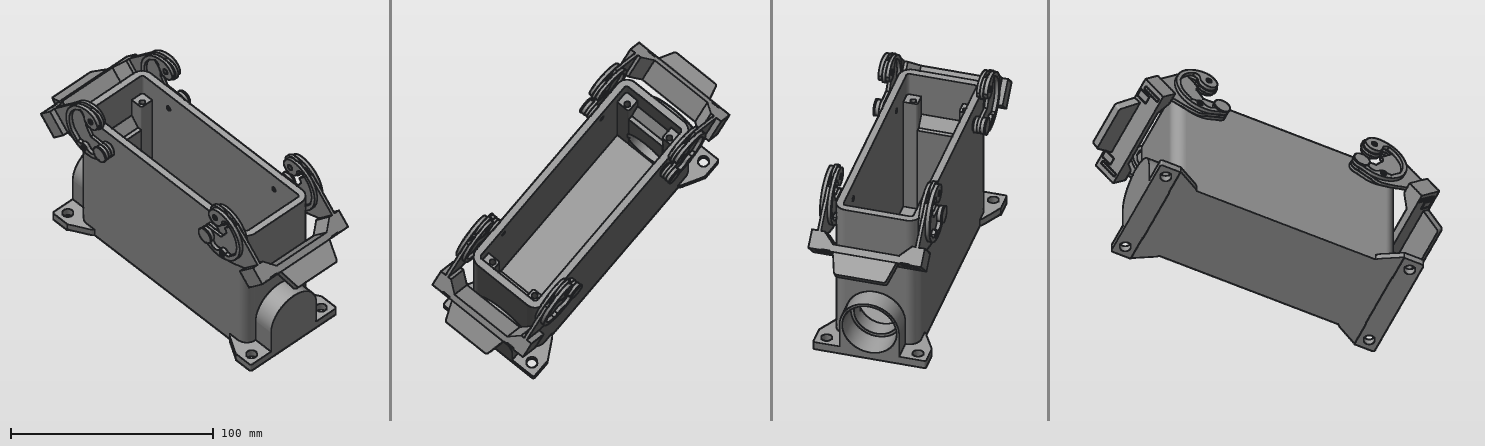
import math

import cadquery as cq

BODY_LENGTH = 121.45
BODY_WIDTH = 43.5
BODY_BOTTOM = 0.5
BODY_TOP = 80.2
BODY_CORNER_RADIUS = 6.1
CAVITY_LENGTH = 113.8
CAVITY_WIDTH = 36.0
CAVITY_CORNER_RADIUS = 1.5
FLOOR_Z = 3.5

POST_LENGTH = 7.0
POST_WIDTH = 7.3
POST_TOP = 67.6
POST_EDGE_RADIUS = 1.0
POST_HOLE_X = 52.2
POST_HOLE_Y = 13.5
POST_HOLE_DIAMETER = 3.0
POST_HOLE_DEPTH = 15.0
LEDGE_SLOPE_TOP = 56.7
LEDGE_SLOPE_LENGTH = 4.6
LEDGE_Z = 51.5

BOSS_END_X = 71.8
BOSS_RADIUS = 15.3
BOSS_AXIS_Z = 17.9
ENTRY_BORE_RADIUS = 14.0
ENTRY_BORE_END_RADIUS = 13.3
ENTRY_TAPER_DEPTH = 11.2
ENTRY_BORE_DEPTH = 13.0
ENTRY_HOLE_RADIUS = 11.7
FOOT_HALF_WIDTH = 29.0
FOOT_TOP = 4.4
FOOT_STRAIGHT_X = 61.0
FOOT_TIP_X = 48.8
FOOT_TIP_BEVEL = 1.0
FOOT_CORNER_RADIUS = 1.0
FOOT_HOLE_X = 66.5
FOOT_HOLE_Y = 23.5
FOOT_HOLE_DIAMETER = 5.5

PIN_X = -38.1
PIN_Z = 70.6
PIN_HEAD_RADIUS = 4.3
PIVOT_EYE_RADIUS = 4.1
ARM_EYE_RADIUS = 3.9
PIN_SHAFT_RADIUS = 3.0
PIN_END_Y = 28.8
PIN_HOLE_RADIUS = 1.3
PIN_HOLE_DEPTH = 1.0

HOOK_INNER_Y = 22.5
ARM_INNER_Y = 24.3
ARM_OUTER_Y = 26.0
HOOK_OUTER_Y = 28.1

HOOK_CENTER = (-47.5, 78.65)
HOOK_OUTER_RADIUS = 15.29
HOOK_INNER_RADIUS = 13.1
HOOK_INNER_START = 115
HOOK_INNER_END = 212
HOOK_LOWER_END = 285
TIP_CENTER = (-45.1, 88.3)
TIP_RADIUS = 4.8
ROLLER_RADIUS = 5.6
HOOK_THROAT = (-51.3, 90.3)
HOOK_LOWER_DIP = (-45.1, 66.1)
LOWER_RIVET = (-50.0, 66.2)
RIVET_RADIUS = 1.5
RIVET_RELIEF = 2.5
RIVET_RELIEF_START = 145
RIVET_RELIEF_END = 30
PIVOT_EYE_UPPER = 210
PIVOT_EYE_LOWER = 285
RIVET_PROUD = 0.25
RIVET_DIMPLE_RADIUS = 0.8
RIVET_DIMPLE_DEPTH = 0.4

ARM_NOSE = (-49.7, 82.7)
ARM_NOSE_CURVE = (-50.7, 81.6)
ARM_NOSE_FOOT = (-50.8, 80.2)
ARM_SLOT_CORNER_X = -47.2
ARM_BELLY_FRONT = (-45.4, 62.9)
ARM_BELLY_CURVE = (-47.5, 61.7)
ARM_BELLY_LOW = (-49.9, 61.2)
ARM_HEEL_CURVE = (-54.0, 62.0)
ARM_HEEL = (-61.5, 64.5)

BAR_TOP = (-73.5, 74.7)
BAR_THICKNESS = 9.4
BAR_DEPTH = 13.6
BAR_HALF_WIDTH = 29.0
BAR_WEB = 3.7
NOTCH_TOP_HALF_WIDTH = HOOK_INNER_Y
NOTCH_BOTTOM_HALF_WIDTH = 16.9
ARM_FRONT_OFFSET = 22.5
ARM_SLOT_Y = (24.1, 25.9)
ARM_SLOT_ACROSS = (2.1, 12.2)
POCKET_Y = (18.4, 22.6)
POCKET_ACROSS = (0.5, 6.9)
RECESS_DEPTH = 0.5
GRIP_ANGLE = 36.0
GRIP_THICKNESS = 4.1
GRIP_END = (-89.245, 61.5)
GRIP_LENGTH = 13.0
GRIP_ROOT_HALF_WIDTH = 16.9
GRIP_END_HALF_WIDTH = 13.2
GRIP_CORNER_RADIUS = 1.5

SLOPE = math.sqrt(0.5)


def polar(center, radius, degrees):
    angle = math.radians(degrees)
    return center[0] + radius * math.cos(angle), center[1] + radius * math.sin(angle)


def bar_point(down, across):
    """Point in XZ, `down` the 45 degree slope from the bar's top edge and `across` towards the body."""
    return BAR_TOP[0] + SLOPE * (across - down), BAR_TOP[1] - SLOPE * (across + down)


def extrude_y(profile, near, far):
    """Turn an XZ profile into a plate between two Y positions."""
    return profile.extrude(-(far - near)).translate((0, near, 0))


def xz():
    return cq.Workplane("XZ")


def disc_y(center, radius, near, far):
    return extrude_y(xz().center(*center).circle(radius), near, far)


def both_ends(shape):
    return shape.union(shape.mirror("YZ"))


def both_sides(shape):
    return shape.union(shape.mirror("XZ"))


def box_between(x, y, z):
    size = [span[1] - span[0] for span in (x, y, z)]
    return cq.Workplane("XY").box(*size, centered=False).translate((x[0], y[0], z[0]))


def make_body():
    body = (
        cq.Workplane("XY", origin=(0, 0, BODY_BOTTOM))
        .rect(BODY_LENGTH, BODY_WIDTH)
        .extrude(BODY_TOP - BODY_BOTTOM)
        .edges("|Z")
        .fillet(BODY_CORNER_RADIUS)
    )
    cavity = (
        cq.Workplane("XY", origin=(0, 0, FLOOR_Z))
        .rect(CAVITY_LENGTH, CAVITY_WIDTH)
        .extrude(BODY_TOP - FLOOR_Z)
        .edges("|Z")
        .fillet(CAVITY_CORNER_RADIUS)
    )
    return body.cut(cavity)


def make_inner_end():
    """Two screw posts and the sloped ledge between them, at the -X end of the cavity."""
    wall_x = -CAVITY_LENGTH / 2
    wall_y = CAVITY_WIDTH / 2
    overlap = 1.0
    face_x = wall_x + POST_LENGTH
    post = (
        box_between((wall_x - overlap, face_x), (wall_y - POST_WIDTH, wall_y + overlap), (FLOOR_Z, POST_TOP))
        .edges("|Z and >X and <Y")
        .fillet(POST_EDGE_RADIUS)
    )
    hole = (
        cq.Workplane("XY", origin=(-POST_HOLE_X, POST_HOLE_Y, POST_TOP))
        .circle(POST_HOLE_DIAMETER / 2)
        .extrude(-POST_HOLE_DEPTH)
    )
    ledge = extrude_y(
        xz().polyline(
            [
                (wall_x - overlap, FLOOR_Z),
                (face_x, FLOOR_Z),
                (face_x, LEDGE_Z),
                (wall_x + LEDGE_SLOPE_LENGTH, LEDGE_Z),
                (wall_x, LEDGE_SLOPE_TOP),
                (wall_x - overlap, LEDGE_SLOPE_TOP),
            ]
        ).close(),
        POST_WIDTH - wall_y,
        wall_y - POST_WIDTH,
    )
    return both_sides(post.cut(hole)).union(ledge)


def make_boss():
    """Cable entry boss on the -X end, a half round standing on a straight block."""
    length = BOSS_END_X - BODY_LENGTH / 2
    plane = cq.Workplane("YZ", origin=(-BOSS_END_X, 0, 0))
    block = plane.center(0, BOSS_AXIS_Z / 2).rect(2 * BOSS_RADIUS, BOSS_AXIS_Z).extrude(length)
    return block.union(plane.center(0, BOSS_AXIS_Z).circle(BOSS_RADIUS).extrude(length))


def make_feet():
    """Mounting foot plate under the -X end, tapering back along both body sides."""
    side_y = BODY_WIDTH / 2
    quarter = [
        (-FOOT_STRAIGHT_X, FOOT_HALF_WIDTH),
        (-FOOT_TIP_X - FOOT_TIP_BEVEL, side_y + FOOT_TIP_BEVEL),
        (-FOOT_TIP_X, side_y),
    ]
    wings = (
        cq.Workplane("XY", origin=(0, 0, BODY_BOTTOM))
        .polyline(quarter + [(x, -y) for x, y in reversed(quarter)])
        .close()
        .extrude(FOOT_TOP - BODY_BOTTOM)
    )
    wings = wings.cut(cq.Workplane("XY").box(CAVITY_LENGTH, CAVITY_WIDTH, 2 * BODY_TOP))
    plate = (
        box_between((-BOSS_END_X, -FOOT_STRAIGHT_X), (-FOOT_HALF_WIDTH, FOOT_HALF_WIDTH), (0, FOOT_TOP))
        .edges("|Z and <X")
        .fillet(FOOT_CORNER_RADIUS)
    )
    holes = (
        cq.Workplane("XY")
        .pushPoints([(-FOOT_HOLE_X, FOOT_HOLE_Y), (-FOOT_HOLE_X, -FOOT_HOLE_Y)])
        .circle(FOOT_HOLE_DIAMETER / 2)
        .extrude(FOOT_TOP)
    )
    return plate.union(wings).cut(holes)


def cut_cable_entry(shape):
    """Tapered bore, its straight end and a smaller hole through the boss and end wall at the -X end."""
    plane = cq.Workplane("YZ", origin=(-BOSS_END_X, 0, BOSS_AXIS_Z))
    taper = math.degrees(math.atan((ENTRY_BORE_RADIUS - ENTRY_BORE_END_RADIUS) / ENTRY_TAPER_DEPTH))
    bore = plane.circle(ENTRY_BORE_RADIUS).extrude(ENTRY_TAPER_DEPTH, taper=taper)
    bore_end = plane.circle(ENTRY_BORE_END_RADIUS).extrude(ENTRY_BORE_DEPTH)
    hole_length = BOSS_END_X - CAVITY_LENGTH / 2 + 2 * POST_LENGTH
    hole = plane.circle(ENTRY_HOLE_RADIUS).extrude(hole_length)
    return shape.cut(bore).cut(bore_end).cut(hole)


def make_pin():
    center = (PIN_X, PIN_Z)
    shaft = disc_y(center, PIN_SHAFT_RADIUS, BODY_WIDTH / 2, HOOK_OUTER_Y)
    return shaft.union(disc_y(center, PIN_HEAD_RADIUS, HOOK_OUTER_Y, PIN_END_Y))


def make_pin_hole():
    wall_y = CAVITY_WIDTH / 2
    return disc_y((PIN_X, PIN_Z), PIN_HOLE_RADIUS, wall_y, wall_y + PIN_HOLE_DEPTH)


def hook_profile():
    """Curved hook running from the rounded tip, around the outer arc, to the pivot pin."""
    inner_mid = (HOOK_INNER_START + HOOK_INNER_END) / 2
    tip_end = polar(TIP_CENTER, TIP_RADIUS, 0)
    relief_start = polar(LOWER_RIVET, RIVET_RELIEF, RIVET_RELIEF_START)
    relief_end = polar(LOWER_RIVET, RIVET_RELIEF, RIVET_RELIEF_END)
    pin = (PIN_X, PIN_Z)
    return (
        xz()
        .moveTo(*polar(HOOK_CENTER, HOOK_OUTER_RADIUS, HOOK_LOWER_END))
        .threePointArc(
            polar(HOOK_CENTER, HOOK_OUTER_RADIUS, 180),
            polar(HOOK_CENTER, HOOK_OUTER_RADIUS, 90),
        )
        .tangentArcPoint(tip_end, relative=False)
        .threePointArc(polar(TIP_CENTER, TIP_RADIUS, 270), polar(TIP_CENTER, TIP_RADIUS, 180))
        .threePointArc(HOOK_THROAT, polar(HOOK_CENTER, HOOK_INNER_RADIUS, HOOK_INNER_START))
        .threePointArc(
            polar(HOOK_CENTER, HOOK_INNER_RADIUS, inner_mid),
            polar(HOOK_CENTER, HOOK_INNER_RADIUS, HOOK_INNER_END),
        )
        .lineTo(relief_start[0] - RIVET_RELIEF, relief_start[1])
        .lineTo(*relief_start)
        .threePointArc(polar(LOWER_RIVET, RIVET_RELIEF, 90), relief_end)
        .threePointArc(HOOK_LOWER_DIP, polar(pin, PIVOT_EYE_RADIUS, PIVOT_EYE_UPPER))
        .lineTo(*pin)
        .lineTo(*polar(pin, PIVOT_EYE_RADIUS, PIVOT_EYE_LOWER))
        .close()
    )


def arm_profile():
    """Flat lever arm between the hook plates, from the bar to the pivot pin."""
    return (
        xz()
        .moveTo(*bar_point(0, 0))
        .lineTo(*bar_point(-ARM_FRONT_OFFSET, 0))
        .lineTo(*ARM_NOSE)
        .threePointArc(ARM_NOSE_CURVE, ARM_NOSE_FOOT)
        .lineTo(ARM_SLOT_CORNER_X, PIN_Z + PIVOT_EYE_RADIUS)
        .lineTo(PIN_X, PIN_Z + ARM_EYE_RADIUS)
        .lineTo(PIN_X, PIN_Z - ARM_EYE_RADIUS)
        .lineTo(*ARM_BELLY_FRONT)
        .threePointArc(ARM_BELLY_CURVE, ARM_BELLY_LOW)
        .threePointArc(ARM_HEEL_CURVE, ARM_HEEL)
        .lineTo(*bar_point(0, BAR_DEPTH))
        .close()
    )


def make_rivet(center):
    outer = HOOK_OUTER_Y + RIVET_PROUD
    rivet = disc_y(center, RIVET_RADIUS, HOOK_INNER_Y - RIVET_PROUD, outer)
    return rivet.cut(disc_y(center, RIVET_DIMPLE_RADIUS, outer - RIVET_DIMPLE_DEPTH, outer))


def make_lever_side():
    """Arm, two hook plates, tip roller and rivets on the +Y side of the lever."""
    pivot = (PIN_X, PIN_Z)
    side = extrude_y(arm_profile(), ARM_INNER_Y, ARM_OUTER_Y)
    side = side.union(disc_y(TIP_CENTER, ROLLER_RADIUS, ARM_INNER_Y, ARM_OUTER_Y))
    side = side.union(disc_y(pivot, ARM_EYE_RADIUS, ARM_INNER_Y, ARM_OUTER_Y))
    for near, far in ((HOOK_INNER_Y, ARM_INNER_Y), (ARM_OUTER_Y, HOOK_OUTER_Y)):
        side = side.union(extrude_y(hook_profile(), near, far))
        side = side.union(disc_y(pivot, PIVOT_EYE_RADIUS, near, far))
    for center in (TIP_CENTER, LOWER_RIVET):
        side = side.cut(disc_y(center, RIVET_RADIUS, HOOK_INNER_Y, HOOK_OUTER_Y))
        side = side.union(make_rivet(center))
    return side


def bar_recess(start, end, near, far):
    """Shallow rectangular recess in the outer face of the bar."""
    deep = BAR_THICKNESS - RECESS_DEPTH
    corners = [(deep, start), (BAR_THICKNESS, start), (BAR_THICKNESS, end), (deep, end)]
    outline = xz().polyline([bar_point(*corner) for corner in corners]).close()
    return extrude_y(outline, near, far)


def make_bar():
    corners = [(0, 0), (BAR_THICKNESS, 0), (BAR_THICKNESS, BAR_DEPTH), (0, BAR_DEPTH)]
    outline = xz().polyline([bar_point(*corner) for corner in corners]).close()
    bar = extrude_y(outline, -BAR_HALF_WIDTH, BAR_HALF_WIDTH)
    notch_depth = BAR_THICKNESS - BAR_WEB
    notch_plane = cq.Plane(
        origin=(BAR_TOP[0], 0, BAR_TOP[1]), xDir=(0, -1, 0), normal=(SLOPE, 0, -SLOPE)
    )
    notch = (
        cq.Workplane(notch_plane)
        .polyline(
            [
                (-NOTCH_TOP_HALF_WIDTH, 0),
                (NOTCH_TOP_HALF_WIDTH, 0),
                (NOTCH_BOTTOM_HALF_WIDTH, notch_depth),
                (-NOTCH_BOTTOM_HALF_WIDTH, notch_depth),
            ]
        )
        .close()
        .extrude(BAR_DEPTH)
    )
    bar = bar.cut(notch)
    for near, far, across in (
        (*ARM_SLOT_Y, ARM_SLOT_ACROSS),
        (*POCKET_Y, POCKET_ACROSS),
    ):
        recess = bar_recess(*across, near, far)
        bar = bar.cut(both_sides(recess))
    return bar


def make_grip():
    """Finger tab, wider at its root, rising from its outer end into the bar."""
    angle = math.radians(GRIP_ANGLE)
    plane = cq.Plane(
        origin=(GRIP_END[0], 0, GRIP_END[1]),
        xDir=(math.cos(angle), 0, math.sin(angle)),
        normal=(math.sin(angle), 0, -math.cos(angle)),
    )
    grip = (
        cq.Workplane(plane)
        .polyline(
            [
                (0, -GRIP_END_HALF_WIDTH),
                (0, GRIP_END_HALF_WIDTH),
                (GRIP_LENGTH, GRIP_ROOT_HALF_WIDTH),
                (GRIP_LENGTH, -GRIP_ROOT_HALF_WIDTH),
            ]
        )
        .close()
        .extrude(GRIP_THICKNESS)
        .edges(cq.selectors.ParallelDirSelector(plane.zDir))
        .edges("<X")
        .fillet(GRIP_CORNER_RADIUS)
    )
    reach = GRIP_LENGTH
    corners = [
        (BAR_THICKNESS, -reach),
        (BAR_THICKNESS, BAR_DEPTH + reach),
        (-reach, BAR_DEPTH + reach),
        (-reach, -reach),
    ]
    behind_bar = xz().polyline([bar_point(*corner) for corner in corners]).close()
    return grip.cut(extrude_y(behind_bar, -BAR_HALF_WIDTH, BAR_HALF_WIDTH))


def make_lever():
    return both_sides(make_lever_side()).union(make_bar()).union(make_grip())


housing = make_body().union(both_ends(make_inner_end()))
housing = housing.union(both_ends(make_boss())).union(both_ends(make_feet()))
housing = housing.union(both_ends(both_sides(make_pin())))
housing = cut_cable_entry(housing)
housing = housing.cut(both_ends(both_sides(make_pin_hole())))
result = housing.union(both_ends(make_lever()))